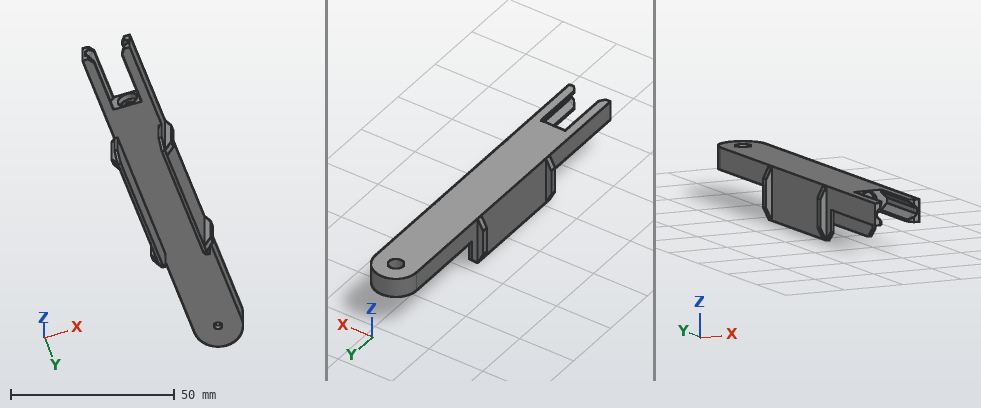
import cadquery as cq

arm_length = 112.7
arm_width = 15.3
arm_height = 7.0
half_width = arm_width / 2
front_y = -arm_length / 2
pivot_y = arm_length / 2 - half_width

slot_width = 9.0
slot_depth = 20.0
groove_depth = 2.0
groove_edge = 0.62
slot_end_y = front_y + slot_depth

mouth_length = 1.8
mouth_width = 11.7
mouth_groove_depth = 1.0
mouth_groove_edge = 1.7

bore_head_diameter = 6.2
bore_head_depth = 2.0
bore_diameter = 3.0
bore_depth = 11.3

pivot_diameter = 2.5
pivot_head_diameter = 5.0
pivot_floor = 2.0

total_height = 17.0
plate_thickness = 1.0
plate_setback = 30.0
plate_length = 45.1
plate_chamfer = 3.0
plate_front_y = front_y + plate_setback
plate_back_y = plate_front_y + plate_length

total_width = 19.4
fin_thickness = 2.0
fin_taper = 4.0
fin_front_y = plate_front_y + plate_chamfer
fin_back_y = plate_back_y - plate_chamfer - fin_thickness

arm_bottom = -arm_height
part_bottom = -total_height


def make_arm():
    return (
        cq.Workplane("XY", origin=(0, 0, arm_bottom))
        .moveTo(-half_width, front_y)
        .lineTo(half_width, front_y)
        .lineTo(half_width, pivot_y)
        .threePointArc((0, arm_length / 2), (-half_width, pivot_y))
        .close()
        .extrude(arm_height)
    )


def slot_section(width, depth, edge):
    wall_x = width / 2
    floor_x = wall_x + depth
    right = [
        (wall_x, 0),
        (wall_x, -edge),
        (floor_x, -edge - depth),
        (floor_x, arm_bottom + edge + depth),
        (wall_x, arm_bottom + edge),
        (wall_x, arm_bottom),
    ]
    left = [(-x, z) for x, z in reversed(right)]
    return right + left


def make_slot():
    section = slot_section(slot_width, groove_depth, groove_edge)
    mouth_section = slot_section(mouth_width, mouth_groove_depth, mouth_groove_edge)
    channel = cq.Workplane("XZ", origin=(0, slot_end_y, 0)).polyline(section).close().extrude(slot_depth)
    mouth = (
        cq.Workplane("XZ", origin=(0, front_y + mouth_length, 0))
        .polyline(section)
        .close()
        .workplane(offset=mouth_length)
        .polyline(mouth_section)
        .close()
        .loft(ruled=True)
    )
    return channel.union(mouth)


def make_end_bore():
    wall = cq.Workplane("XZ", origin=(0, slot_end_y, arm_bottom / 2))
    head = wall.circle(bore_head_diameter / 2).extrude(-bore_head_depth)
    shank = wall.circle(bore_diameter / 2).extrude(-bore_depth)
    return head.union(shank)


def make_pivot_hole():
    hole = cq.Workplane("XY", origin=(0, pivot_y, arm_bottom)).circle(pivot_diameter / 2).extrude(arm_height)
    head = (
        cq.Workplane("XY", origin=(0, pivot_y, arm_bottom + pivot_floor))
        .circle(pivot_head_diameter / 2)
        .extrude(arm_height - pivot_floor)
    )
    return hole.union(head)


def make_plate():
    outline = [
        (plate_front_y, 0),
        (plate_back_y, 0),
        (plate_back_y, part_bottom + plate_chamfer),
        (plate_back_y - plate_chamfer, part_bottom),
        (plate_front_y + plate_chamfer, part_bottom),
        (plate_front_y, part_bottom + plate_chamfer),
    ]
    return (
        cq.Workplane("YZ", origin=(half_width - plate_thickness, 0, 0))
        .polyline(outline)
        .close()
        .extrude(plate_thickness)
    )


def make_fin(start_y):
    root_x = half_width - plate_thickness
    tip_x = total_width / 2
    outline = [
        (root_x, 0),
        (half_width, 0),
        (tip_x, -fin_taper),
        (tip_x, part_bottom + fin_taper),
        (half_width, part_bottom),
        (root_x, part_bottom),
    ]
    return cq.Workplane("XZ", origin=(0, start_y, 0)).polyline(outline).close().extrude(-fin_thickness)


side = make_plate().union(make_fin(fin_front_y)).union(make_fin(fin_back_y))
body = make_arm().union(side).union(side.mirror("YZ"))
result = body.cut(make_slot()).cut(make_end_bore()).cut(make_pivot_hole())